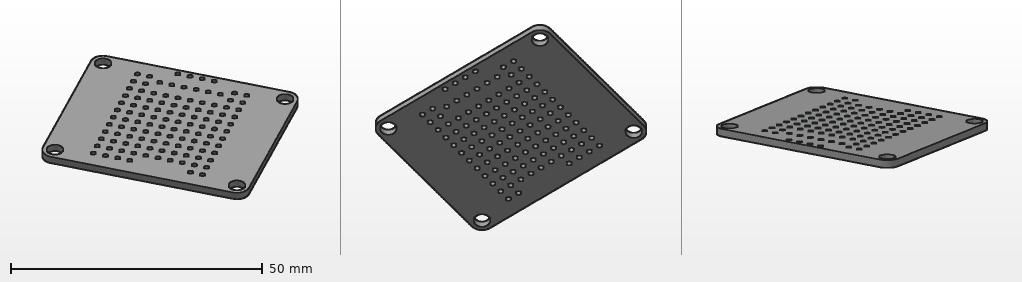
import cadquery as cq

length = 43.2
thickness = 1.6
pitches_along_length = 17
pitches_along_width = 14
pitch = length / pitches_along_length
width = pitches_along_width * pitch
corner_radius = pitch

mount_diameter = 3.3
pin_diameter = 1.05

all_columns = range(4, 14)
outer_columns = [4, 5, 12, 13]
bottom_columns = [4, 5, 6, 7, 12, 13]
header_columns = range(6, 12)
top_columns = range(7, 11)

full_rows = [(first + 0.5, all_columns) for first in range(2, 11)]
partial_rows = [
    (1.5, bottom_columns),
    (11.5, outer_columns),
    (12.0, header_columns),
    (12.5, outer_columns),
    (13.5, top_columns),
]


def grid_point(column, row):
    """Position, from the plate centre, of a grid place counted from the (-X, -Y) corner."""
    return (column * pitch - length / 2, row * pitch - width / 2)


pin_points = [
    grid_point(column, row)
    for row, columns in full_rows + partial_rows
    for column in columns
]

plate = cq.Workplane("XY").box(length, width, thickness).edges("|Z").fillet(corner_radius)

mount_spacing_x = length - 2 * corner_radius
mount_spacing_y = width - 2 * corner_radius
plate = (
    plate.faces(">Z").workplane(origin=(0, 0, 0))
    .rect(mount_spacing_x, mount_spacing_y, forConstruction=True)
    .vertices()
    .hole(mount_diameter)
)

result = (
    plate.faces(">Z").workplane(origin=(0, 0, 0))
    .pushPoints(pin_points)
    .hole(pin_diameter)
)